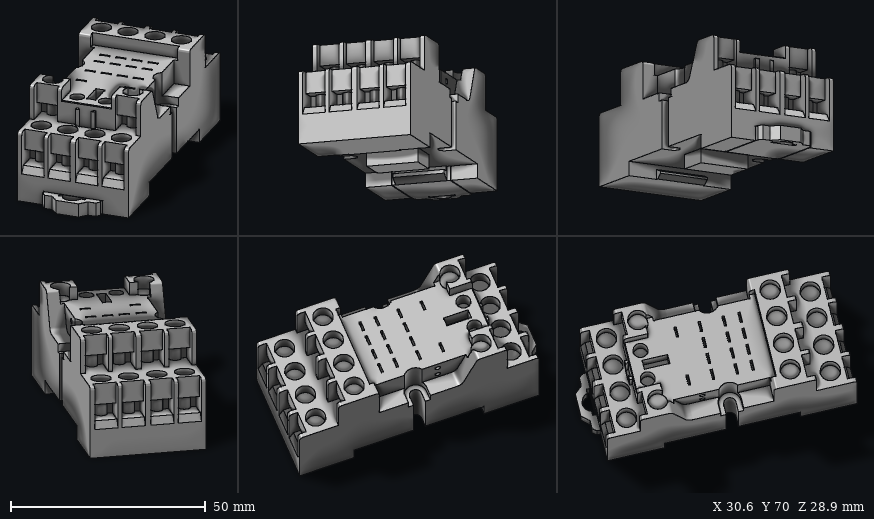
import cadquery as cq


HALF_WIDTH = 15.29
HALF_LENGTH = 33.0
OVERALL_LENGTH = 70.0
HEIGHT = 28.9
STEP_Z = 19.4
EDGE_RADIUS = 1.0

CHANNEL_REAR_Y = 18.0
CHANNEL_FRONT_Y = -17.8
CHANNEL_DEPTH = 3.8
PAD_HALF_LENGTH = 4.05
PAD_HALF_WIDTH = 7.0
HOOK_HALF_WIDTH = 7.0
FIXED_HOOK_ROOT_Z = 2.6
FIXED_HOOK_TIP_Y = 16.1
FIXED_HOOK_TIP_TOP_Z = 1.8
FIXED_HOOK_TIP_BOTTOM_Z = 1.25
FIXED_HOOK_HEEL_Y = 17.5

REAR_TOWER_BACK_Y = 22.25
REAR_TOWER_FRONT_Y = 11.0
FRONT_TOWER_FRONT_Y = -24.2
RAMP_TOP_Y = -15.95
RAMP_FOOT_Y = -11.7
RAMP_TOP_RADIUS = 1.4
RAMP_FOOT_RADIUS = 2.1

DECK_Z = 25.5
LEDGE_Z = 18.8
DECK_HALF_WIDTH = 10.9
DECK_RECESS_HALF_WIDTH = 11.9
DECK_RECESS_REAR_Y = 12.4
DECK_RECESS_FRONT_Y = -16.95
DECK_TONGUE_FRONT_Y = -23.25
DECK_EDGE_CHAMFER = 0.2

INNER_COLUMN_X = 3.8
OUTER_COLUMN_X = 11.0
COLUMN_WIDTH = 6.1
TONGUE_HALF_WIDTH = INNER_COLUMN_X + COLUMN_WIDTH / 2
TONGUE_WALL_OUTER_X = OUTER_COLUMN_X - COLUMN_WIDTH / 2
INNER_HOLE_X = 3.7
SCREW_HOLE_RADIUS = 2.6
SCREW_HOLE_DEPTH = 3.5
POST_RADIUS = 1.55
LOWER_HOLE_Y = 26.9
LOWER_FACE_Y = 30.65
LOWER_LIP_Z = 13.7
LOWER_FLOOR_Z = 9.7
SILL_BEVEL_LENGTH = 1.2
SILL_BEVEL_DROP = 1.95
UPPER_LIP_Z = 23.4
REAR_UPPER_HOLE_Y = 16.3
REAR_UPPER_FACE_Y = 20.0
FRONT_UPPER_HOLE_Y = -18.6
FRONT_UPPER_FACE_Y = -22.1

PIN_SLOT_LENGTH = 2.65
PIN_SLOT_WIDTH = 0.55
PIN_SLOT_DEPTH = 2.8
PIN_PITCH = 4.4
PIN_COLUMNS = 4
FULL_PIN_ROWS_Y = [7.35, 3.15, -3.15]
OUTER_PIN_ROW_Y = -9.5
KEYWAY_WIDTH = 2.45
KEYWAY_REAR_Y = -13.1
KEYWAY_FRONT_Y = -19.8
COIL_HOLE_X = 3.9
COIL_HOLE_Y = -19.6
COIL_HOLE_RADIUS = 1.9
DECK_OPENING_DEPTH = 4.2

NOTCH_RADIUS = 1.6
NOTCH_SEAT_RADIUS = 3.0
NOTCH_CENTER_X = 12.7
NOTCH_SEAT_Z = 16.65
MARKER_HOLE_RADIUS = 0.7
MARKER_HOLE_DEPTH = 1.4
MARKER_HOLE_Y = -6.8
MARKER_HOLES_Z = [20.3, 23.4]

RIB_OUTER_X = 2.65
RIB_INNER_ROOT_X = 2.1
RIB_INNER_TIP_X = 1.55
RIB_FRONT_Y = -24.1
RIB_TOP_Z = 24.1
RIB_POCKET_DEPTH = 1.4

CLIP_HALF_WIDTH = 7.9
CLIP_SLOT_HALF_WIDTH = 8.1
CLIP_FRONT_Y = HALF_LENGTH - OVERALL_LENGTH
CLIP_SHOULDER_Y = -35.0
CLIP_CORNER_Y = -33.95
CLIP_SHOULDER_X = 7.1
CLIP_NOSE_BASE_X = 4.9
CLIP_NOSE_TIP_X = 3.1
CLIP_WINDOW_X = 3.6
CLIP_WINDOW_REAR_Y = -33.1
CLIP_WINDOW_ARC_X = 2.45
CLIP_WINDOW_FRONT_Y = -35.8
HOOK_STEM_Y = -17.2
HOOK_TIP_Y = -15.75
HOOK_TOP_Z = 2.5
HOOK_TIP_Z = 1.55

CLEAR = 0.7


def block(x_range, y_range, z_range):
    """Box spanning three coordinate ranges."""
    spans = [high - low for low, high in (x_range, y_range, z_range)]
    corner = (x_range[0], y_range[0], z_range[0])
    return cq.Workplane("XY").box(*spans, centered=False).translate(corner)


def cylinder(x, y, radius, z_range):
    """Upright cylinder."""
    low, high = z_range
    return cq.Workplane("XY", origin=(x, y, low)).circle(radius).extrude(high - low)


def side_profile(points, half_width):
    """Body from a closed (Y, Z) outline, extruded evenly to both sides of X = 0."""
    return cq.Workplane("YZ").polyline(points).close().extrude(half_width, both=True)


def round_edge(body, y, z, radius):
    """Round the full-width edge that runs along X at (y, z)."""
    return body.edges(cq.selectors.NearestToPointSelector((0, y, z))).fillet(radius)


def housing_blank():
    """Stepped outline with the rail channel, the two towers and the ramp."""
    body = side_profile(
        [
            (HALF_LENGTH, 0),
            (HALF_LENGTH, STEP_Z),
            (REAR_TOWER_BACK_Y, STEP_Z),
            (REAR_TOWER_BACK_Y, HEIGHT),
            (REAR_TOWER_FRONT_Y, HEIGHT),
            (REAR_TOWER_FRONT_Y, LEDGE_Z),
            (RAMP_FOOT_Y, LEDGE_Z),
            (RAMP_TOP_Y, HEIGHT),
            (FRONT_TOWER_FRONT_Y, HEIGHT),
            (FRONT_TOWER_FRONT_Y, STEP_Z),
            (-HALF_LENGTH, STEP_Z),
            (-HALF_LENGTH, 0),
            (CHANNEL_FRONT_Y, 0),
            (CHANNEL_FRONT_Y, CHANNEL_DEPTH),
            (CHANNEL_REAR_Y, CHANNEL_DEPTH),
            (CHANNEL_REAR_Y, 0),
        ],
        HALF_WIDTH,
    )
    for y, z, radius in [
        (HALF_LENGTH, STEP_Z, EDGE_RADIUS),
        (REAR_TOWER_BACK_Y, HEIGHT, EDGE_RADIUS),
        (REAR_TOWER_FRONT_Y, HEIGHT, EDGE_RADIUS),
        (RAMP_FOOT_Y, LEDGE_Z, RAMP_FOOT_RADIUS),
        (RAMP_TOP_Y, HEIGHT, RAMP_TOP_RADIUS),
        (FRONT_TOWER_FRONT_Y, HEIGHT, EDGE_RADIUS),
        (-HALF_LENGTH, STEP_Z, EDGE_RADIUS),
    ]:
        body = round_edge(body, y, z, radius)
    return body


def add_deck(body):
    """Raise the deck between the side ledges and sink it into both towers."""
    deck = block(
        (-DECK_HALF_WIDTH, DECK_HALF_WIDTH),
        (DECK_RECESS_FRONT_Y, DECK_RECESS_REAR_Y),
        (LEDGE_Z - CLEAR, DECK_Z),
    )
    recess = block(
        (-DECK_RECESS_HALF_WIDTH, DECK_RECESS_HALF_WIDTH),
        (DECK_RECESS_FRONT_Y, DECK_RECESS_REAR_Y),
        (DECK_Z, HEIGHT + CLEAR),
    )
    return body.union(deck).cut(recess)


def cut_tongue(body):
    """Set back the middle of the front tower, round its top edge and lower the deck tongue."""
    setback = (
        cq.Workplane("YZ")
        .moveTo(DECK_TONGUE_FRONT_Y + EDGE_RADIUS, HEIGHT)
        .radiusArc((DECK_TONGUE_FRONT_Y, HEIGHT - EDGE_RADIUS), -EDGE_RADIUS)
        .lineTo(DECK_TONGUE_FRONT_Y, STEP_Z)
        .lineTo(FRONT_TOWER_FRONT_Y - CLEAR, STEP_Z)
        .lineTo(FRONT_TOWER_FRONT_Y - CLEAR, HEIGHT + CLEAR)
        .lineTo(DECK_TONGUE_FRONT_Y + EDGE_RADIUS, HEIGHT + CLEAR)
        .close()
        .extrude(TONGUE_WALL_OUTER_X, both=True)
    )
    lowering = side_profile(
        [
            (DECK_RECESS_FRONT_Y, DECK_Z),
            (DECK_TONGUE_FRONT_Y + DECK_EDGE_CHAMFER, DECK_Z),
            (DECK_TONGUE_FRONT_Y, DECK_Z - DECK_EDGE_CHAMFER),
            (DECK_TONGUE_FRONT_Y - CLEAR, DECK_Z - DECK_EDGE_CHAMFER),
            (DECK_TONGUE_FRONT_Y - CLEAR, HEIGHT + CLEAR),
            (DECK_RECESS_FRONT_Y, HEIGHT + CLEAR),
        ],
        TONGUE_HALF_WIDTH,
    )
    return body.cut(setback).cut(lowering)


def cut_terminal(body, column_x, hole_x, hole_y, face_y, outer_y, levels, beveled_sill):
    """One wire terminal: notch above the lip, wire opening with a screw post, screw hole."""
    top_z, lip_z, floor_z = levels
    outward = 1 if outer_y > 0 else -1
    reach_y = outer_y + outward * CLEAR
    x_range = (column_x - COLUMN_WIDTH / 2, column_x + COLUMN_WIDTH / 2)

    notch = block(x_range, sorted((face_y, reach_y)), (lip_z, top_z + CLEAR))
    opening = block(x_range, sorted((hole_y, reach_y)), (floor_z, lip_z))
    post = cylinder(hole_x, hole_y, POST_RADIUS, (floor_z, lip_z))
    screw_hole = cylinder(hole_x, hole_y, SCREW_HOLE_RADIUS, (top_z - SCREW_HOLE_DEPTH, top_z + CLEAR))
    body = body.cut(notch).cut(opening.cut(post)).cut(screw_hole)

    if beveled_sill:
        bevel = (
            cq.Workplane("YZ", origin=(x_range[0], 0, 0))
            .moveTo(outer_y - outward * SILL_BEVEL_LENGTH, floor_z)
            .lineTo(outer_y, floor_z)
            .lineTo(outer_y, floor_z - SILL_BEVEL_DROP)
            .close()
            .extrude(COLUMN_WIDTH)
        )
        body = body.cut(bevel)
    return body


def cut_terminals(body):
    """Lower rows at both ends, a full upper row behind and two upper terminals in front."""
    lower = (STEP_Z, LOWER_LIP_Z, LOWER_FLOOR_Z)
    upper = (HEIGHT, UPPER_LIP_Z, STEP_Z)
    columns = [(INNER_COLUMN_X, INNER_HOLE_X), (OUTER_COLUMN_X, OUTER_COLUMN_X)]
    for side in (-1, 1):
        for column_x, hole_x in columns:
            place = (side * column_x, side * hole_x)
            for end in (-1, 1):
                rows = [end * y for y in (LOWER_HOLE_Y, LOWER_FACE_Y, HALF_LENGTH)]
                body = cut_terminal(body, *place, *rows, lower, True)
            rear = (REAR_UPPER_HOLE_Y, REAR_UPPER_FACE_Y, REAR_TOWER_BACK_Y)
            body = cut_terminal(body, *place, *rear, upper, False)
        place = (side * OUTER_COLUMN_X, side * OUTER_COLUMN_X)
        front = (FRONT_UPPER_HOLE_Y, FRONT_UPPER_FACE_Y, FRONT_TOWER_FRONT_Y)
        body = cut_terminal(body, *place, *front, upper, False)
    return body


def cut_deck_openings(body):
    """Relay pin slots, the keyway and the two coil holes beside it."""
    first_x = -(PIN_COLUMNS - 1) / 2 * PIN_PITCH
    columns_x = [first_x + column * PIN_PITCH for column in range(PIN_COLUMNS)]
    places = [(x, y) for y in FULL_PIN_ROWS_Y for x in columns_x]
    places += [(columns_x[0], OUTER_PIN_ROW_Y), (columns_x[-1], OUTER_PIN_ROW_Y)]
    pin_slots = (
        cq.Workplane("XY", origin=(0, 0, DECK_Z))
        .pushPoints(places)
        .rect(PIN_SLOT_LENGTH, PIN_SLOT_WIDTH)
        .extrude(-PIN_SLOT_DEPTH)
    )
    opening_z = (DECK_Z - DECK_OPENING_DEPTH, DECK_Z)
    keyway = block((-KEYWAY_WIDTH / 2, KEYWAY_WIDTH / 2), (KEYWAY_FRONT_Y, KEYWAY_REAR_Y), opening_z)
    body = body.cut(pin_slots).cut(keyway)
    for side in (-1, 1):
        body = body.cut(cylinder(side * COIL_HOLE_X, COIL_HOLE_Y, COIL_HOLE_RADIUS, opening_z))
    return body


def side_notch(radius, z_range):
    """Round-ended notch that opens through the +X side."""
    slot = block((NOTCH_CENTER_X, HALF_WIDTH + CLEAR), (-radius, radius), z_range)
    return slot.union(cylinder(NOTCH_CENTER_X, 0, radius, z_range))


def cut_side_features(body):
    """Stepped mounting notches and small marker holes, alike on both long sides."""
    notch = side_notch(NOTCH_RADIUS, (0, HEIGHT))
    notch = notch.union(side_notch(NOTCH_SEAT_RADIUS, (NOTCH_SEAT_Z, HEIGHT)))
    markers = (
        cq.Workplane("YZ", origin=(DECK_HALF_WIDTH, 0, 0))
        .pushPoints([(MARKER_HOLE_Y, z) for z in MARKER_HOLES_Z])
        .circle(MARKER_HOLE_RADIUS)
        .extrude(-MARKER_HOLE_DEPTH)
    )
    for cutter in (notch, markers):
        body = body.cut(cutter).cut(cutter.mirror("YZ"))
    return body


def add_guide_ribs(body):
    """Two ribs with slanted inner flanks and the shallow pocket between their feet."""
    rib = (
        cq.Workplane("XY", origin=(0, 0, STEP_Z))
        .moveTo(RIB_INNER_ROOT_X, DECK_TONGUE_FRONT_Y)
        .lineTo(RIB_OUTER_X, DECK_TONGUE_FRONT_Y)
        .lineTo(RIB_OUTER_X, RIB_FRONT_Y)
        .lineTo(RIB_INNER_TIP_X, RIB_FRONT_Y)
        .close()
        .extrude(RIB_TOP_Z - STEP_Z)
    )
    pocket = (
        cq.Workplane("XY", origin=(0, 0, STEP_Z))
        .moveTo(-RIB_INNER_ROOT_X, DECK_TONGUE_FRONT_Y)
        .lineTo(RIB_INNER_ROOT_X, DECK_TONGUE_FRONT_Y)
        .lineTo(RIB_INNER_TIP_X, RIB_FRONT_Y)
        .lineTo(-RIB_INNER_TIP_X, RIB_FRONT_Y)
        .close()
        .extrude(-RIB_POCKET_DEPTH)
    )
    return body.union(rib).union(rib.mirror("YZ")).cut(pocket)


def add_rail_features(body):
    """Clip slot through the front foot, fixed hook on the rear foot and pad in the channel."""
    clip_slot = block(
        (-CLIP_SLOT_HALF_WIDTH, CLIP_SLOT_HALF_WIDTH),
        (-HALF_LENGTH, CHANNEL_FRONT_Y),
        (0, CHANNEL_DEPTH),
    )
    fixed_hook = side_profile(
        [
            (CHANNEL_REAR_Y, FIXED_HOOK_ROOT_Z),
            (FIXED_HOOK_TIP_Y, FIXED_HOOK_TIP_TOP_Z),
            (FIXED_HOOK_TIP_Y, FIXED_HOOK_TIP_BOTTOM_Z),
            (FIXED_HOOK_HEEL_Y, 0),
            (CHANNEL_REAR_Y, 0),
        ],
        HOOK_HALF_WIDTH,
    )
    pad = block(
        (-PAD_HALF_WIDTH, PAD_HALF_WIDTH),
        (-PAD_HALF_LENGTH, PAD_HALF_LENGTH),
        (0, CHANNEL_DEPTH),
    )
    return body.cut(clip_slot).union(fixed_hook).union(pad)


def make_housing():
    body = housing_blank()
    body = add_deck(body)
    body = cut_tongue(body)
    body = cut_terminals(body)
    body = cut_deck_openings(body)
    body = cut_side_features(body)
    body = add_guide_ribs(body)
    return add_rail_features(body)


def make_clip():
    """Sliding rail clip: plate with a finger window in front and a hook at the rail."""
    plate = (
        cq.Workplane("XY")
        .moveTo(-CLIP_HALF_WIDTH, CHANNEL_FRONT_Y)
        .lineTo(-CLIP_HALF_WIDTH, CLIP_CORNER_Y)
        .lineTo(-CLIP_SHOULDER_X, CLIP_SHOULDER_Y)
        .lineTo(-CLIP_NOSE_BASE_X, CLIP_SHOULDER_Y)
        .lineTo(-CLIP_NOSE_TIP_X, CLIP_FRONT_Y)
        .lineTo(CLIP_NOSE_TIP_X, CLIP_FRONT_Y)
        .lineTo(CLIP_NOSE_BASE_X, CLIP_SHOULDER_Y)
        .lineTo(CLIP_SHOULDER_X, CLIP_SHOULDER_Y)
        .lineTo(CLIP_HALF_WIDTH, CLIP_CORNER_Y)
        .lineTo(CLIP_HALF_WIDTH, CHANNEL_FRONT_Y)
        .close()
        .extrude(CHANNEL_DEPTH)
    )
    window = (
        cq.Workplane("XY")
        .moveTo(-CLIP_WINDOW_X, CLIP_WINDOW_REAR_Y)
        .lineTo(-CLIP_WINDOW_X, CLIP_CORNER_Y)
        .lineTo(-CLIP_WINDOW_ARC_X, CLIP_CORNER_Y)
        .threePointArc((0, CLIP_WINDOW_FRONT_Y), (CLIP_WINDOW_ARC_X, CLIP_CORNER_Y))
        .lineTo(CLIP_WINDOW_X, CLIP_CORNER_Y)
        .lineTo(CLIP_WINDOW_X, CLIP_WINDOW_REAR_Y)
        .close()
        .extrude(CHANNEL_DEPTH)
    )
    hook = side_profile(
        [
            (CHANNEL_FRONT_Y, CHANNEL_DEPTH),
            (HOOK_STEM_Y, CHANNEL_DEPTH),
            (HOOK_STEM_Y, HOOK_TOP_Z),
            (HOOK_TIP_Y, HOOK_TOP_Z),
            (HOOK_TIP_Y, HOOK_TIP_Z),
            (CHANNEL_FRONT_Y, 0),
        ],
        HOOK_HALF_WIDTH,
    )
    return plate.cut(window).union(hook)


housing = make_housing()
clip = make_clip()

result = cq.Compound.makeCompound([housing.solids().val(), clip.solids().val()])